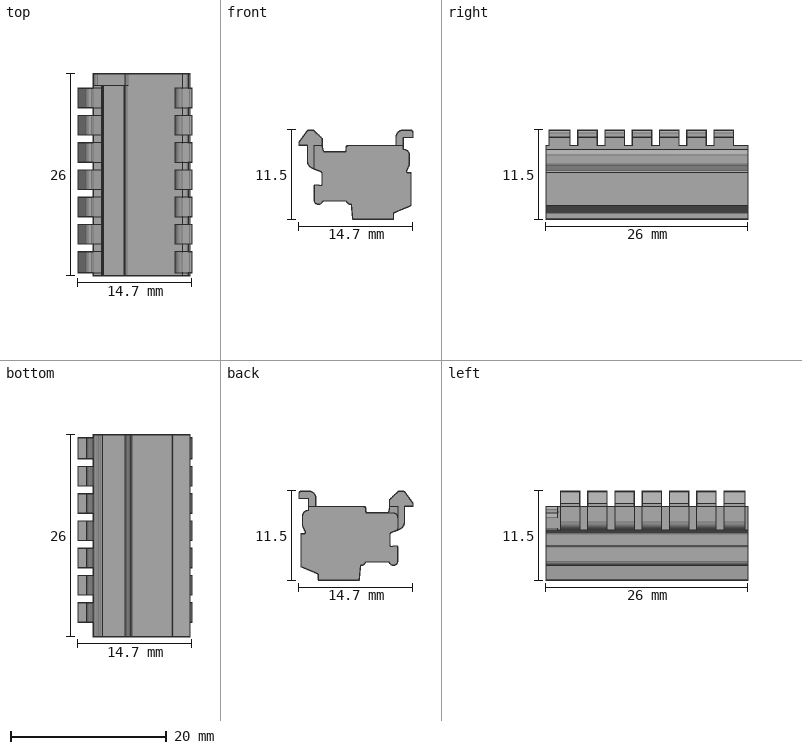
import cadquery as cq
import math

length = 26.0
top_of_hooks = 11.5
body_top = 9.52
body_right = 12.45

channel_floor = 8.7
channel_wall_x = 4.08
channel_bevel = 0.13
channel_edge_radius = 0.29
rib_width = 1.07
rib_foot_x = 1.17
rib_taper_z = 9.3

end_stretch = 1.53
end_floor = 8.65
end_left_edge_radius = 0.57
end_channel_edge_radius = 0.42
end_groove_edge_radius = 0.25

groove_depth = 1.0
groove_floor_z = 4.37
groove_lip_z = 4.45
groove_lip_start_x = 0.6
groove_lip_end_x = 0.68
groove_ceiling_inner_z = 6.08
groove_ceiling_outer_z = 6.47
groove_ceiling_radius = 0.2
groove_edge_radius = 0.13

ledge_z = 2.37
ledge_left_x = 1.17
ledge_right_x = 4.08
bead_bottom = 1.95
bead_right_x = 0.8
bead_outer_radius = 0.5
bead_inner_radius = 0.3
foot_left = 4.95
foot_root_x = 4.75
foot_root_shoulder_x = 4.45
foot_root_radius = 0.25
foot_right = 10.22
foot_side_height = 0.83
foot_side_radius = 0.1
foot_edge_radius = 0.13

hook_back_x = 11.47
lobe_x = 12.25
lobe_top_z = 9.02
lobe_top_radius = 0.75
lobe_bottom_z = 7.02
lobe_bottom_radius = 0.52
side_step_x = 11.78
side_step_z = 6.0
side_step_radius = 0.18
side_bottom_z = 1.77

barb_tip_x = -1.98
barb_edge_z = 9.9
barb_shoulder_z = 10.37
barb_crest_left_x = -0.83
barb_crest_left_radius = 0.4
barb_crest_right_x = -0.1
barb_crest_right_radius = 0.25
stem_x = -0.88
stem_corner_z = 6.86
stem_bend_radius = 1.01

upright_x = 10.5
upright_bend_radius = 0.94
lip_end_x = 12.71
lip_underside = 10.5
lip_top_radius = 0.36
lip_bottom_radius = 0.15

hook_count = 7
hook_length = 2.52
front_hook_length = 2.73
rear_hook_back_y = 24.13
front_hook_back_y = 3.12
hook_pitch = (rear_hook_back_y - front_hook_back_y) / (hook_count - 1)


def corner_points(previous, corner, following):
    """Return a sharp corner as one point, or a rounded one as the start, middle and end of its arc."""
    point = cq.Vector(*corner[:2])
    if len(corner) == 2:
        return [point]
    radius = corner[2]
    back = (cq.Vector(*previous[:2]) - point).normalized()
    ahead = (cq.Vector(*following[:2]) - point).normalized()
    half_angle = back.getAngle(ahead) / 2
    tangent_length = radius / math.tan(half_angle)
    arc_distance = radius / math.sin(half_angle) - radius
    return [
        point + back * tangent_length,
        point + (back + ahead).normalized() * arc_distance,
        point + ahead * tangent_length,
    ]


def rounded_prism(corners, front_y, depth):
    """Extrude an XZ polygon toward +Y. Each corner is (x, z) or (x, z, rounding radius)."""
    neighbours = zip(corners[-1:] + corners[:-1], corners, corners[1:] + corners[:1])
    pieces = [corner_points(*three) for three in neighbours]
    plane = cq.Workplane("XZ", origin=(0, front_y, 0))
    path = plane.moveTo(*pieces[-1][-1].toTuple()[:2])
    for piece in pieces[:-1]:
        path = path.lineTo(*piece[0].toTuple()[:2])
        if len(piece) > 1:
            path = path.threePointArc(piece[1].toTuple()[:2], piece[2].toTuple()[:2])
    return path.close().extrude(-depth)


shared_corners = [
    (hook_back_x, lobe_top_z),
    (lobe_x, lobe_top_z, lobe_top_radius),
    (lobe_x, lobe_bottom_z, lobe_bottom_radius),
    (side_step_x, side_step_z, side_step_radius),
    (body_right, side_step_z),
    (body_right, side_bottom_z),
    (foot_right, foot_side_height, foot_side_radius),
    (foot_right, 0, foot_edge_radius),
    (foot_left, 0, foot_edge_radius),
    (foot_root_x, bead_bottom),
    (foot_root_shoulder_x, bead_bottom, foot_root_radius),
    (ledge_right_x, ledge_z),
    (ledge_left_x, ledge_z),
    (bead_right_x, bead_bottom, bead_inner_radius),
    (0, bead_bottom, bead_outer_radius),
    (0, groove_lip_z, groove_edge_radius),
    (groove_lip_start_x, groove_lip_z),
    (groove_lip_end_x, groove_floor_z),
    (groove_depth, groove_floor_z, groove_edge_radius),
    (groove_depth, groove_ceiling_inner_z, groove_ceiling_radius),
]

ribbed_top = [
    (0, groove_ceiling_outer_z),
    (0, body_top),
    (rib_width, body_top),
    (rib_width, rib_taper_z),
    (rib_foot_x, channel_floor + channel_bevel),
    (rib_foot_x + channel_bevel, channel_floor),
    (channel_wall_x - channel_bevel, channel_floor),
    (channel_wall_x, channel_floor + channel_bevel),
    (channel_wall_x, body_top, channel_edge_radius),
    (hook_back_x, body_top),
]

plain_top = [
    (0, groove_ceiling_outer_z, end_groove_edge_radius),
    (0, end_floor, end_left_edge_radius),
    (channel_wall_x, end_floor),
    (channel_wall_x, body_top, end_channel_edge_radius),
    (hook_back_x, body_top),
]

left_hook = [
    (0, groove_ceiling_outer_z),
    (stem_x, stem_corner_z, stem_bend_radius),
    (stem_x, body_top),
    (barb_tip_x, body_top),
    (barb_tip_x, barb_edge_z),
    (barb_crest_left_x, top_of_hooks, barb_crest_left_radius),
    (barb_crest_right_x, top_of_hooks, barb_crest_right_radius),
    (rib_width, barb_shoulder_z),
    (rib_width, body_top),
    (0, body_top),
]

right_hook = [
    (upright_x, body_top),
    (upright_x, top_of_hooks, upright_bend_radius),
    (lip_end_x, top_of_hooks, lip_top_radius),
    (lip_end_x, lip_underside, lip_bottom_radius),
    (hook_back_x, lip_underside),
    (hook_back_x, body_top),
]

ribbed_length = length - end_stretch
result = rounded_prism(shared_corners + ribbed_top, 0, ribbed_length)
result = result.union(rounded_prism(shared_corners + plain_top, ribbed_length, end_stretch))

for i in range(hook_count):
    is_front = i == hook_count - 1
    depth = front_hook_length if is_front else hook_length
    front_y = rear_hook_back_y - hook_pitch * i - depth
    for outline in (left_hook, right_hook):
        result = result.union(rounded_prism(outline, front_y, depth))